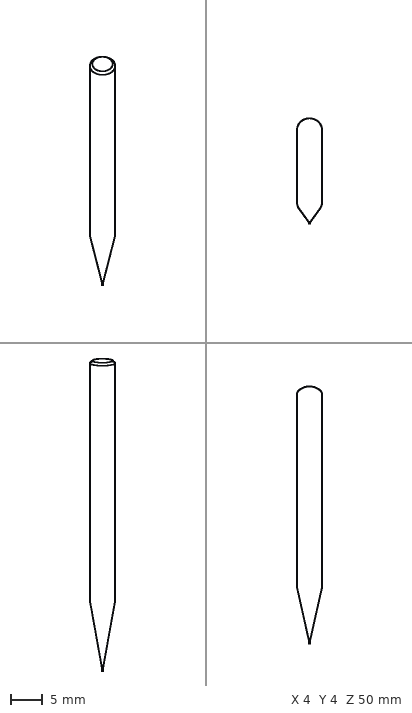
import cadquery as cq
import math

overall_length = 50.0
shank_diameter = 4.0
shank_chamfer = 0.4
tip_diameter = 0.2
tip_length = 0.5
cone_half_angle = 10.0

shank_radius = shank_diameter / 2
tip_radius = tip_diameter / 2
cone_length = (shank_radius - tip_radius) / math.tan(math.radians(cone_half_angle))

tip_end_z = 0.0
cone_start_z = tip_end_z + tip_length
shank_start_z = cone_start_z + cone_length
shank_end_z = tip_end_z + overall_length


def make_tool():
    """Revolve the half section: fine cylindrical tip, cone, shank and end chamfer."""
    half_section = (
        cq.Workplane("XZ")
        .moveTo(0, tip_end_z)
        .lineTo(-tip_radius, tip_end_z)
        .lineTo(-tip_radius, cone_start_z)
        .lineTo(-shank_radius, shank_start_z)
        .lineTo(-shank_radius, shank_end_z - shank_chamfer)
        .lineTo(-(shank_radius - shank_chamfer), shank_end_z)
        .lineTo(0, shank_end_z)
        .close()
    )
    return half_section.revolve(360, (0, 0, 0), (0, 1, 0))


result = make_tool()